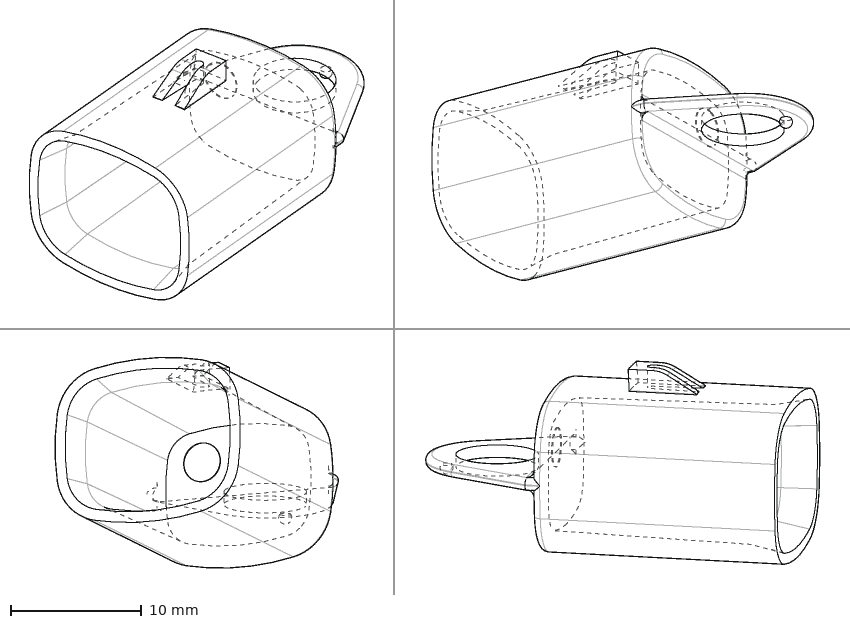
import cadquery as cq
import math

full_width = 15.35
half_width = full_width / 2
half_height = 6.38
top_arc_end = (4.4, 5.92)
side_arc_end = (7.48, 2.6)
body_length = 19.0
rear_fillet = 0.58

mouth_wall = 0.85
lead_in_wall = 1.4
floor_wall = 1.65
lead_in_depth = 2.7
floor_thickness = 0.87

mark_radius = 1.5
mark_center = (-3.02, 2.0)
mark_depth = 0.1

total_length = 29.0
loop_thickness = 1.0
loop_edge_fillet = 0.45
loop_tip_radius = 5.08
loop_hole_radius = 3.15
loop_hole_y = 23.52
web_fillet = 0.58
nub_radius = 0.5
nub_y = 27.5
nub_z = -0.75

ramp_height = 1.65
ramp_rear_y = 12.93
ramp_overhang = 0.12
ramp_flat_y = 10.38
ramp_tip_y = 7.55
ramp_crest_radius = 2.32
ramp_half_width_base = 1.5
ramp_half_width_top = 1.42
slot_end_y = 11.72
slot_end_radius = 0.4
slot_half_width_tip = 0.6
ramp_root = 0.58


def body_outline(y, inset=0.0):
    """Closed rounded outline in the XZ plane at depth y, shrunk by inset."""
    tx, tz = top_arc_end
    sx, sz = side_arc_end
    outline = (
        cq.Workplane("XZ", origin=(0, y, 0))
        .moveTo(-tx, tz)
        .threePointArc((0, half_height), (tx, tz))
        .tangentArcPoint((sx, sz), relative=False)
        .threePointArc((half_width, 0), (sx, -sz))
        .tangentArcPoint((tx, -tz), relative=False)
        .threePointArc((0, -half_height), (-tx, -tz))
        .tangentArcPoint((-sx, -sz), relative=False)
        .threePointArc((-half_width, 0), (-sx, sz))
        .tangentArcPoint((-tx, tz), relative=False)
        .close()
    )
    if inset:
        outline = outline.offset2D(-inset)
    return outline


def loft_between(y_front, wall_front, y_back, wall_back):
    """Tapered core between two inset outlines."""
    wires = [
        body_outline(y_front, wall_front).val(),
        body_outline(y_back, wall_back).val(),
    ]
    return cq.Workplane(cq.Solid.makeLoft(wires, True))


def make_body():
    shell = body_outline(0).extrude(-body_length)
    return shell.faces(">Y").edges().fillet(rear_fillet)


def make_cavity():
    floor_y = body_length - floor_thickness
    lead_in = loft_between(0, mouth_wall, lead_in_depth, lead_in_wall)
    bore = loft_between(lead_in_depth, lead_in_wall, floor_y, floor_wall)
    mark = (
        cq.Workplane("XZ", origin=(0, floor_y, 0))
        .center(*mark_center)
        .circle(mark_radius)
        .extrude(-mark_depth)
    )
    return lead_in.union(bore).union(mark)


def make_loop():
    """Flat teardrop tab with rounded edges and a large eye."""
    root_y = body_length - rear_fillet
    corner_y = body_length + web_fillet
    tip_center_y = total_length - loop_tip_radius

    rise = tip_center_y - corner_y
    reach = math.hypot(half_width, rise)
    angle = math.acos(loop_tip_radius / reach) - math.atan2(rise, half_width)
    touch_x = loop_tip_radius * math.cos(angle)
    touch_y = tip_center_y + loop_tip_radius * math.sin(angle)

    tab = (
        cq.Workplane("XY", origin=(0, 0, -loop_thickness / 2))
        .moveTo(-half_width, root_y)
        .lineTo(-half_width, corner_y)
        .lineTo(-touch_x, touch_y)
        .threePointArc((0, total_length), (touch_x, touch_y))
        .lineTo(half_width, corner_y)
        .lineTo(half_width, root_y)
        .close()
        .extrude(loop_thickness)
    )
    tab = tab.faces("<Z or >Z").edges("not <Y").fillet(loop_edge_fillet)
    eye = (
        cq.Workplane("XY", origin=(0, loop_hole_y, -loop_thickness))
        .circle(loop_hole_radius)
        .extrude(2 * loop_thickness)
    )
    nub = cq.Workplane("XY", origin=(0, nub_y, nub_z)).sphere(nub_radius)
    return tab.cut(eye).union(nub)


def make_web():
    """Concave blend between the loop faces and the rear of the body."""
    web_half_width = half_width - rear_fillet
    root_y = body_length - rear_fillet / 2
    outer_y = body_length + web_fillet
    half_thick = loop_thickness / 2
    foot_z = half_thick + web_fillet
    sag = web_fillet * (1 - math.sqrt(0.5))
    return (
        cq.Workplane("YZ", origin=(-web_half_width, 0, 0))
        .moveTo(root_y, -foot_z)
        .lineTo(body_length, -foot_z)
        .threePointArc((body_length + sag, -half_thick - sag), (outer_y, -half_thick))
        .lineTo(outer_y, half_thick)
        .threePointArc((body_length + sag, half_thick + sag), (body_length, foot_z))
        .lineTo(root_y, foot_z)
        .close()
        .extrude(2 * web_half_width)
    )


def make_ramp():
    """Wedge with an overhanging rear face, split by a flared slot."""
    root_z = half_height - ramp_root
    top_z = half_height + ramp_height
    wedge = (
        cq.Workplane("YZ", origin=(-ramp_half_width_base, 0, 0))
        .moveTo(ramp_tip_y, root_z)
        .lineTo(ramp_tip_y, half_height)
        .lineTo(ramp_flat_y, top_z)
        .lineTo(ramp_rear_y, top_z)
        .lineTo(ramp_rear_y - ramp_overhang, half_height)
        .lineTo(ramp_rear_y - ramp_overhang, root_z)
        .close()
        .extrude(2 * ramp_half_width_base)
    )
    wedge = wedge.faces(">Z").edges("<Y").fillet(ramp_crest_radius)
    drafted_sides = (
        cq.Workplane("XZ")
        .moveTo(-ramp_half_width_base, root_z)
        .lineTo(-ramp_half_width_base, half_height)
        .lineTo(-ramp_half_width_top, top_z)
        .lineTo(ramp_half_width_top, top_z)
        .lineTo(ramp_half_width_base, half_height)
        .lineTo(ramp_half_width_base, root_z)
        .close()
        .extrude(-body_length)
    )
    slot_shoulder_y = slot_end_y - slot_end_radius
    slot = (
        cq.Workplane("XY", origin=(0, 0, root_z))
        .moveTo(-slot_half_width_tip, ramp_tip_y)
        .lineTo(-slot_end_radius, slot_shoulder_y)
        .threePointArc((0, slot_end_y), (slot_end_radius, slot_shoulder_y))
        .lineTo(slot_half_width_tip, ramp_tip_y)
        .close()
        .extrude(ramp_root + ramp_height)
    )
    return wedge.intersect(drafted_sides).cut(slot)


result = make_body().union(make_web()).union(make_loop()).union(make_ramp()).cut(make_cavity())